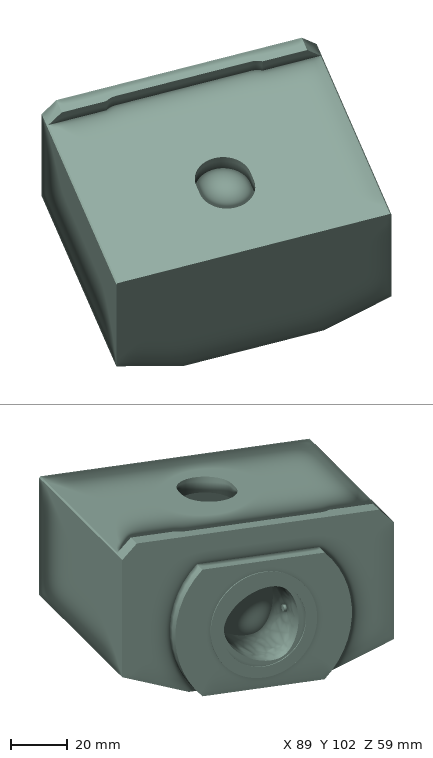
import cadquery as cq
import math


block_length = 83.0
block_width = 102.0
bottom_z = -24.0
lip_height = 59.0
block_height = 54.0
top_chamfer = 5.5
bottom_bevel_height = 9.1
bottom_bevel_angle = 20.0

lip_thickness = 6.0
relief_depth = 1.2
relief_outer_half_width = 29.0
relief_end_radius = 7.0

pocket_length = 24.0
pocket_width = 20.0
pocket_depth = 6.0
pocket_x = 51.0

nose_length = 6.0
ring_height = 0.4
flange_diameter = 66.4
flange_thickness = nose_length - ring_height
flange_flat_distance = -2 * bottom_z
ring_outer_diameter = 40.0
ring_inner_diameter = 31.6

bore_mean_diameter = 28.0
bore_eccentricity = 0.9
bore_lobes = 3
bore_depth = 24.0
bore_diameter_taper = 1 / 20
bore_curve_points = 48

pin_diameter = 2.5
pin_tip_y = -11.7
pin_embedment = 3.0
pin_depth = 12.0

top_z = bottom_z + lip_height
deck_z = bottom_z + block_height
half_width = block_width / 2


def make_block():
    """Prism along X with bevelled lower edges and chamfered upper edges."""
    bevel_width = bottom_bevel_height / math.tan(math.radians(bottom_bevel_angle))
    half_outline = [
        (half_width - bevel_width, bottom_z),
        (half_width, bottom_z + bottom_bevel_height),
        (half_width, top_z - top_chamfer),
        (half_width - top_chamfer, top_z),
    ]
    mirrored = [(-y, z) for y, z in reversed(half_outline)]
    return cq.Workplane("YZ").polyline(half_outline + mirrored).close().extrude(block_length)


def make_deck_cut():
    """Material above the deck, behind the lip and its middle relief."""
    relief_x = lip_thickness - relief_depth
    arc_width = math.sqrt(relief_end_radius**2 - (relief_end_radius - relief_depth) ** 2)
    relief_inner_half_width = relief_outer_half_width - arc_width
    return (
        cq.Workplane("XY", origin=(0, 0, deck_z))
        .moveTo(block_length, -half_width)
        .lineTo(lip_thickness, -half_width)
        .lineTo(lip_thickness, -relief_outer_half_width)
        .radiusArc((relief_x, -relief_inner_half_width), relief_end_radius)
        .lineTo(relief_x, relief_inner_half_width)
        .radiusArc((lip_thickness, relief_outer_half_width), relief_end_radius)
        .lineTo(lip_thickness, half_width)
        .lineTo(block_length, half_width)
        .close()
        .extrude(top_z - deck_z)
    )


def make_pocket():
    """Oblong pocket cut down from the deck."""
    return (
        cq.Workplane("XY", origin=(pocket_x, 0, deck_z))
        .slot2D(pocket_length, pocket_width)
        .extrude(-pocket_depth)
    )


def make_flange():
    """Round flange trimmed by two flats, with the raised ring on its face."""
    flange = cq.Workplane("YZ").circle(flange_diameter / 2).extrude(-flange_thickness)
    flats = cq.Workplane("YZ").rect(flange_diameter, flange_flat_distance).extrude(-flange_thickness)
    ring = (
        cq.Workplane("YZ", origin=(-flange_thickness, 0, 0))
        .circle(ring_outer_diameter / 2)
        .circle(ring_inner_diameter / 2)
        .extrude(-ring_height)
    )
    return flange.intersect(flats).union(ring)


def bore_section(x, mean_diameter):
    """Closed three-lobed wire at X = x, with one lobe pointing to +Y."""
    points = []
    for i in range(bore_curve_points):
        angle = 2 * math.pi * i / bore_curve_points
        lobe_angle = bore_lobes * angle
        support = mean_diameter / 2 + bore_eccentricity * math.cos(lobe_angle)
        slope = -bore_lobes * bore_eccentricity * math.sin(lobe_angle)
        y = support * math.cos(angle) - slope * math.sin(angle)
        z = support * math.sin(angle) + slope * math.cos(angle)
        points.append(cq.Vector(x, y, z))
    return cq.Wire.assembleEdges([cq.Edge.makeSpline(points, periodic=True)])


def make_bore():
    """Tapered blind bore starting at the flange face."""
    floor_diameter = bore_mean_diameter - bore_depth * bore_diameter_taper
    mouth = bore_section(-flange_thickness, bore_mean_diameter)
    floor = bore_section(bore_depth - flange_thickness, floor_diameter)
    return cq.Workplane(cq.Solid.makeLoft([mouth, floor], True))


def make_pin():
    """Cylindrical pin along Y, embedded in the bore wall."""
    wall_y = -(bore_mean_diameter / 2 - bore_eccentricity)
    pin_length = pin_tip_y - wall_y + pin_embedment
    return (
        cq.Workplane("XZ", origin=(pin_depth - flange_thickness, pin_tip_y, 0))
        .circle(pin_diameter / 2)
        .extrude(pin_length)
    )


block = make_block().cut(make_deck_cut()).cut(make_pocket())
result = block.union(make_flange()).cut(make_bore()).union(make_pin())